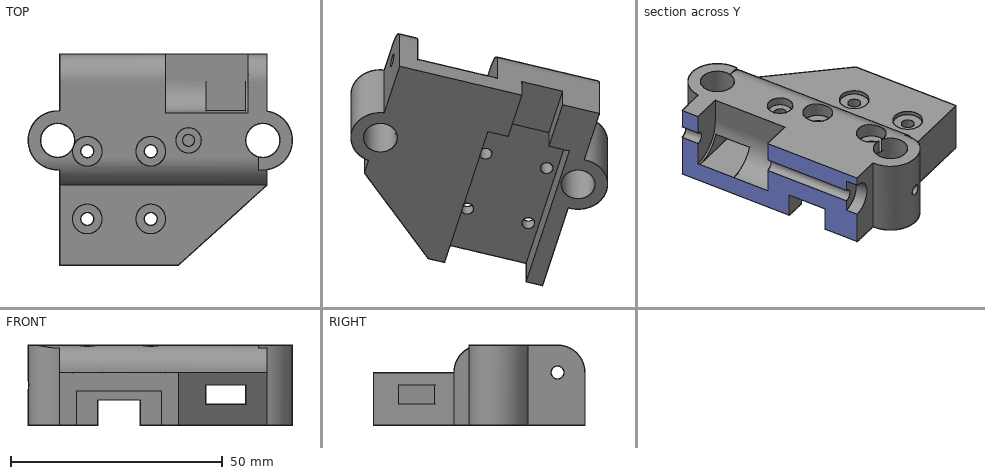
import cadquery as cq

total_width = 62.5
height = 19.0
depth = 50.0
plate_height = 12.5
round_radius = height - plate_height
block_front = 19.0
body_left = 7.45
body_right = 56.5
corner_cut_x = 35.5

boss_radius = 7.0
rod_diameter = 8.0
boss_y = 29.55
left_boss_x = boss_radius
right_boss_x = total_width - boss_radius
right_boss_seat = 54.4
set_screw_diameter = 2.5
set_screw_z = height / 2

clevis_left = 32.5
clevis_right = 52.0
clevis_swing_radius = 7.5
pivot_y = depth - round_radius
pivot_z = plate_height
clevis_floor = pivot_z - clevis_swing_radius
pivot_diameter = 3.0
pivot_head_diameter = 8.5
pivot_head_depth = 3.0
window_left = 42.0
window_right = 51.4
window_top = 9.5

channel_center = 21.5
channel_width = 20.0
channel_height = 8.1
channel_length = 38.0
groove_width = 10.0
groove_height = 6.0
screw_pitch_x = 15.0
screw_pitch_y = 16.0
screw_front_y = 11.0
screw_diameter = 3.0
screw_head_diameter = 7.0
front_seat_z = plate_height - 1.0
rear_seat_z = height - 3.5

top_screw_x = 37.9
top_screw_diameter = 2.8
top_screw_depth = 10.0
top_head_diameter = 6.0
top_head_depth = 2.0


def box(x_range, y_range, z_range):
    """Box between the given lower and upper limits."""
    lower, upper = zip(x_range, y_range, z_range)
    size = [high - low for low, high in zip(lower, upper)]
    return cq.Workplane("XY").box(*size, centered=False).translate(lower)


def post(x, y, diameter, bottom, top):
    """Vertical cylinder between two heights."""
    return cq.Workplane("XY", origin=(x, y, bottom)).circle(diameter / 2).extrude(top - bottom)


def bar(y, z, diameter, left, right):
    """Cylinder along X between two positions."""
    return cq.Workplane("YZ", origin=(left, y, z)).circle(diameter / 2).extrude(right - left)


def side_profile(left, right):
    """Stepped and rounded side outline, extruded along X."""
    diagonal = round_radius * 0.5 ** 0.5
    front_center_y = block_front + round_radius
    return (
        cq.Workplane("YZ", origin=(left, 0, 0))
        .lineTo(depth, 0)
        .lineTo(depth, plate_height)
        .threePointArc((pivot_y + diagonal, plate_height + diagonal), (pivot_y, height))
        .lineTo(front_center_y, height)
        .threePointArc(
            (front_center_y - diagonal, plate_height + diagonal), (block_front, plate_height)
        )
        .lineTo(0, plate_height)
        .close()
        .extrude(right - left)
    )


def make_body():
    corner = (
        cq.Workplane("XY")
        .polyline([(corner_cut_x, 0), (body_right, 0), (body_right, block_front)])
        .close()
        .extrude(height)
    )
    return side_profile(body_left, body_right).cut(corner)


def make_boss(outer_x, center_x, inner_x):
    """Boss with a half-round outer end and straight sides reaching inner_x."""
    front = boss_y - boss_radius
    back = boss_y + boss_radius
    return (
        cq.Workplane("XY")
        .moveTo(inner_x, front)
        .lineTo(center_x, front)
        .threePointArc((outer_x, boss_y), (center_x, back))
        .lineTo(inner_x, back)
        .close()
        .extrude(height)
    )


def add_bosses(body):
    left_boss = make_boss(0, left_boss_x, body_left).intersect(side_profile(0, body_right))
    right_boss = make_boss(total_width, right_boss_x, right_boss_seat)
    return body.union(left_boss).union(right_boss)


def cut_rods(body):
    for x in (left_boss_x, right_boss_x):
        body = body.cut(post(x, boss_y, rod_diameter, 0, height))
    return body.cut(bar(boss_y, set_screw_z, set_screw_diameter, 0, left_boss_x))


def cut_hinge(body):
    x_range = (clevis_left, clevis_right)
    swing = bar(pivot_y, pivot_z, 2 * clevis_swing_radius, *x_range)
    front = pivot_y - clevis_swing_radius
    body = body.cut(swing)
    body = body.cut(box(x_range, (pivot_y, depth), (clevis_floor, height)))
    body = body.cut(box(x_range, (front, depth), (pivot_z, height)))
    body = body.cut(box((window_left, window_right), (0, depth), (clevis_floor, window_top)))
    body = body.cut(bar(pivot_y, pivot_z, pivot_diameter, body_left, body_right))
    head_end = body_left + pivot_head_depth
    return body.cut(bar(pivot_y, pivot_z, pivot_head_diameter, body_left, head_end))


def cut_channel(body):
    for width, length, top in (
        (channel_width, channel_length, channel_height),
        (groove_width, depth, groove_height),
    ):
        x_range = (channel_center - width / 2, channel_center + width / 2)
        body = body.cut(box(x_range, (0, length), (0, top)))
    return body


def cut_screws(body):
    for x in (channel_center - screw_pitch_x / 2, channel_center + screw_pitch_x / 2):
        for y, seat_z in ((screw_front_y, front_seat_z), (screw_front_y + screw_pitch_y, rear_seat_z)):
            body = body.cut(post(x, y, screw_diameter, 0, height))
            body = body.cut(post(x, y, screw_head_diameter, seat_z, height))
    body = body.cut(post(top_screw_x, boss_y, top_screw_diameter, height - top_screw_depth, height))
    return body.cut(post(top_screw_x, boss_y, top_head_diameter, height - top_head_depth, height))


result = cut_screws(cut_channel(cut_hinge(cut_rods(add_bosses(make_body())))))